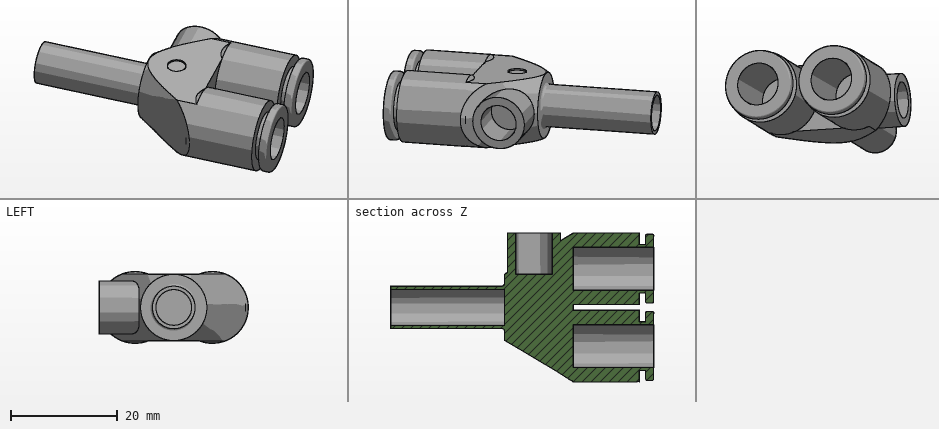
import cadquery as cq
import math


stem_diameter = 8.0
stem_bore_diameter = 6.7
stem_length = 21.35
stem_root_fillet = 0.5

barrel_diameter = 13.5
barrel_pitch = 14.5
barrel_end_x = 46.65
neck_diameter = 9.2
bore_diameter = 8.0

flange_diameter = 13.0
flange_thickness = 1.6
flange_edge_fillet = 0.35
total_length = 49.4

body_thickness = 12.5
body_nose_diameter = 12.44
body_end_x = 34.3
barrel_lead_in_angle = 30.0

port_diameter = 10.0
port_bore_diameter = 6.8
port_x = 26.9

recess_diameter = 3.5
recess_depth = 0.3
recess_x = port_x

body_start_x = stem_length
body_half_thickness = body_thickness / 2
barrel_radius = barrel_diameter / 2
barrel_centers_y = (-barrel_pitch / 2, barrel_pitch / 2)
half_width = barrel_pitch / 2 + barrel_radius
flange_start_x = total_length - flange_thickness
lead_in_height = barrel_radius - body_half_thickness
lead_in_length = lead_in_height / math.tan(math.radians(barrel_lead_in_angle))


def x_cylinder(diameter, start_x, end_x, center_y=0.0):
    """Cylinder along X between two stations."""
    plane = cq.Workplane("YZ", origin=(start_x, center_y, 0))
    return plane.circle(diameter / 2).extrude(end_x - start_x)


def make_body():
    """Cone widening from the stem to the full width, trimmed by a stadium prism and a flat slab."""
    cone_profile = [
        (body_start_x, 0),
        (body_start_x, body_nose_diameter / 2),
        (body_end_x, half_width),
        (body_end_x, 0),
    ]
    cone = cq.Workplane("XY").polyline(cone_profile).close().revolve(360, (0, 0, 0), (1, 0, 0))
    stadium = (
        cq.Workplane("YZ", origin=(body_start_x, 0, 0))
        .slot2D(2 * half_width, barrel_diameter)
        .extrude(total_length)
    )
    slab = cq.Workplane("XY").box(2 * total_length, 2 * half_width, body_thickness)
    return cone.intersect(stadium).intersect(slab)


def make_stem():
    """Stem tube with a concave fillet where it meets the body face."""
    stem_radius = stem_diameter / 2
    fillet_start_x = body_start_x - stem_root_fillet
    fillet_rise = stem_root_fillet * math.sin(math.radians(45))
    arc_middle = (fillet_start_x + fillet_rise, stem_radius + stem_root_fillet - fillet_rise)
    return (
        cq.Workplane("XY")
        .lineTo(0, stem_radius)
        .lineTo(fillet_start_x, stem_radius)
        .threePointArc(arc_middle, (body_start_x, stem_radius + stem_root_fillet))
        .lineTo(body_start_x, 0)
        .close()
        .revolve(360, (0, 0, 0), (1, 0, 0))
    )


def make_barrel(center_y):
    """Barrel with a conical lead-in out of the body, a neck and a rounded collar flange."""
    lead_in_start_x = body_end_x - lead_in_length
    barrel_profile = [
        (lead_in_start_x, center_y),
        (lead_in_start_x, center_y + body_half_thickness),
        (body_end_x, center_y + barrel_radius),
        (barrel_end_x, center_y + barrel_radius),
        (barrel_end_x, center_y),
    ]
    shell = (
        cq.Workplane("XY")
        .polyline(barrel_profile)
        .close()
        .revolve(360, (0, center_y, 0), (1, center_y, 0))
    )
    neck = x_cylinder(neck_diameter, barrel_end_x, flange_start_x, center_y)
    flange = x_cylinder(flange_diameter, flange_start_x, total_length, center_y)
    flange = flange.edges().fillet(flange_edge_fillet)
    return shell.union(neck).union(flange)


def make_port():
    """Side port running from the stem axis out to the full width on +Y."""
    return cq.Workplane("XZ", origin=(port_x, 0, 0)).circle(port_diameter / 2).extrude(-half_width)


def cut_bores(part):
    """Blind bores: the stem to the body face, the barrels to the body end, the port to the body side."""
    part = part.cut(x_cylinder(stem_bore_diameter, 0, body_start_x))
    for center_y in barrel_centers_y:
        part = part.cut(x_cylinder(bore_diameter, body_end_x, total_length, center_y))
    port_bore = (
        cq.Workplane("XZ", origin=(port_x, body_half_thickness, 0))
        .circle(port_bore_diameter / 2)
        .extrude(body_half_thickness - half_width)
    )
    return part.cut(port_bore)


def cut_recess(part):
    """Shallow round recess in the top flat."""
    recess = (
        cq.Workplane("XY", origin=(recess_x, 0, body_half_thickness))
        .circle(recess_diameter / 2)
        .extrude(-recess_depth)
    )
    return part.cut(recess)


part = make_body().union(make_stem()).union(make_port())
for barrel_y in barrel_centers_y:
    part = part.union(make_barrel(barrel_y))
result = cut_recess(cut_bores(part))